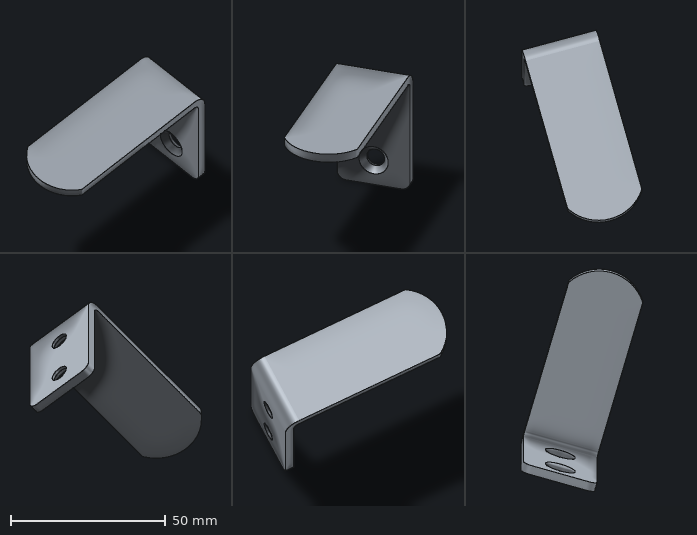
import cadquery as cq

width = 25.0
length = 63.0
height = 43.0
thickness = 3.0

bend_outer_radius = 5.0
bend_inner_radius = bend_outer_radius - thickness
foot_corner_radius = 3.0
nose_radius = 14.75
nose_corner_radius = 1.0

hole_diameter = 6.0
countersink_diameter = 10.0
countersink_angle = 90.0
hole_spacing = 20.0
lowest_hole_height = 9.0

leg_front = -thickness
shelf_underside = height - thickness


def bent_strip():
    """L-shaped strip with a rounded bend, centred on X = 0."""
    profile = (
        cq.Workplane("YZ")
        .moveTo(0, 0)
        .lineTo(0, height - bend_outer_radius)
        .radiusArc((-bend_outer_radius, height), -bend_outer_radius)
        .lineTo(-length, height)
        .lineTo(-length, shelf_underside)
        .lineTo(-bend_outer_radius, shelf_underside)
        .radiusArc((leg_front, height - bend_outer_radius), bend_inner_radius)
        .lineTo(leg_front, 0)
        .close()
    )
    return profile.extrude(width / 2, both=True)


def shelf_outline():
    """Full-height prism that trims the shelf's free end to a shallow arc."""
    half_width = width / 2
    nose_centre = nose_radius - length
    shoulder = nose_centre - (nose_radius**2 - half_width**2) ** 0.5
    return (
        cq.Workplane("XY")
        .moveTo(-half_width, 0)
        .lineTo(-half_width, shoulder)
        .threePointArc((0, -length), (half_width, shoulder))
        .lineTo(half_width, 0)
        .close()
        .extrude(height)
        .edges("|Z and (not >Y)")
        .fillet(nose_corner_radius)
    )


def countersunk_holes(body):
    """Drill the screw holes from the leg's inner face, one above the other."""
    centres = [(0, lowest_hole_height + i * hole_spacing) for i in range(2)]
    return (
        body.copyWorkplane(cq.Workplane("XZ", origin=(0, leg_front, 0)))
        .pushPoints(centres)
        .cskHole(hole_diameter, countersink_diameter, countersink_angle, depth=thickness)
    )


bracket = bent_strip().intersect(shelf_outline())
bracket = bracket.edges("|Y and <Z").fillet(foot_corner_radius)
result = countersunk_holes(bracket)